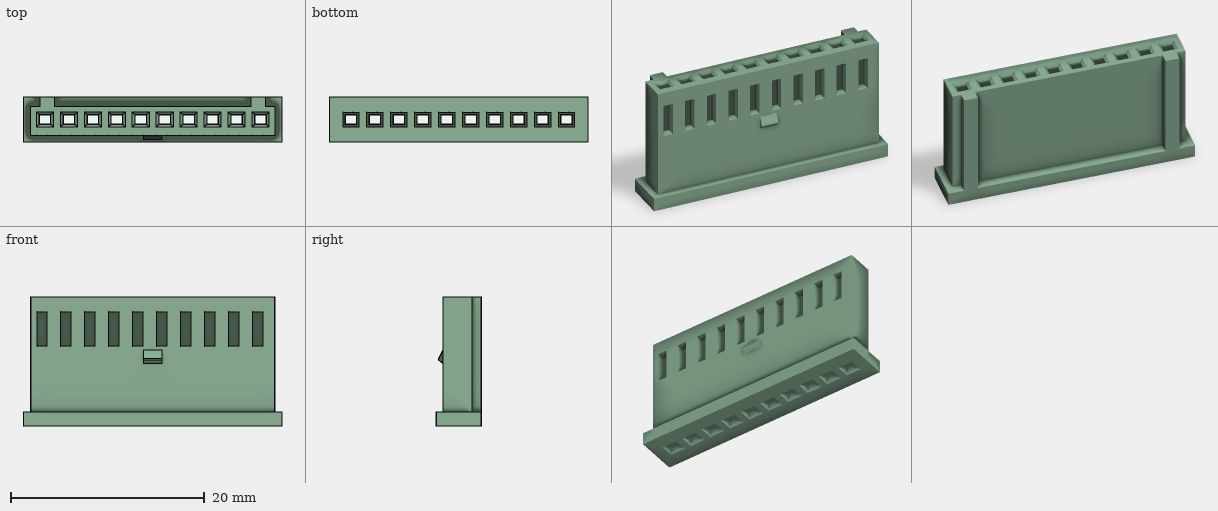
import cadquery as cq

LENGTH = 26.7
DEPTH = 4.67
HEIGHT = 13.35
BASE_HEIGHT = 1.47

BODY_SIDE_INSET = 0.75
BODY_FRONT_INSET = 0.7
BODY_DEPTH = 3.0
BODY_LENGTH = LENGTH - 2 * BODY_SIDE_INSET
FRONT_Y = -DEPTH / 2
BACK_Y = DEPTH / 2
BODY_FRONT_Y = FRONT_Y + BODY_FRONT_INSET
BODY_BACK_Y = BODY_FRONT_Y + BODY_DEPTH

RIB_WIDTH = 1.5
RIB_END_GAP = 1.7
RIB_OFFSET = LENGTH / 2 - RIB_END_GAP - RIB_WIDTH / 2

CONTACT_COUNT = 10
CONTACT_SPAN = 22.25
CONTACT_PITCH = CONTACT_SPAN / (CONTACT_COUNT - 1)
MOUTH_LENGTH = 1.75
MOUTH_DEPTH = 1.55
THROAT_LENGTH = 1.15
THROAT_DEPTH = 0.95
FUNNEL_HEIGHT = 0.3
THROAT_HEIGHT = 0.2
CAVITY_MARGIN = 0.27
CAVITY_LENGTH = THROAT_LENGTH + 2 * CAVITY_MARGIN
CAVITY_DEPTH = THROAT_DEPTH + 2 * CAVITY_MARGIN
THROAT_TOP = HEIGHT - FUNNEL_HEIGHT
CAVITY_TOP = THROAT_TOP - THROAT_HEIGHT

WINDOW_WIDTH = 1.07
WINDOW_BOTTOM = 8.25
WINDOW_TOP = 11.8

LATCH_WIDTH = 1.87
LATCH_REACH = 0.43
LATCH_BOTTOM = 6.46
LATCH_TIP_BOTTOM = 6.85
LATCH_TIP_TOP = 7.0
LATCH_TOP = 7.85


def block(x_range, y_range, z_range):
    """Axis-aligned box spanning the given ranges."""
    (x0, x1), (y0, y1), (z0, z1) = x_range, y_range, z_range
    return cq.Workplane("XY").box(x1 - x0, y1 - y0, z1 - z0, centered=False).translate((x0, y0, z0))


def centred_block(x, length, y_range, z_range):
    """Box of the given length centred at x."""
    return block((x - length / 2, x + length / 2), y_range, z_range)


def latch():
    """Wedge with a long upper ramp, a narrow flat tip and a short undercut."""
    tip_y = BODY_FRONT_Y - LATCH_REACH
    profile = [
        (BODY_FRONT_Y, LATCH_BOTTOM),
        (tip_y, LATCH_TIP_BOTTOM),
        (tip_y, LATCH_TIP_TOP),
        (BODY_FRONT_Y, LATCH_TOP),
    ]
    return cq.Workplane("YZ").polyline(profile).close().extrude(LATCH_WIDTH / 2, both=True)


def contact_cut(x):
    """Tapered mouth, narrow throat, wide cavity through the base, and front window."""
    throat_y = (-THROAT_DEPTH / 2, THROAT_DEPTH / 2)
    cavity_y = (-CAVITY_DEPTH / 2, CAVITY_DEPTH / 2)
    funnel = (
        cq.Workplane("XY", origin=(x, 0, HEIGHT))
        .rect(MOUTH_LENGTH, MOUTH_DEPTH)
        .workplane(offset=-FUNNEL_HEIGHT)
        .rect(THROAT_LENGTH, THROAT_DEPTH)
        .loft(ruled=True)
    )
    throat = centred_block(x, THROAT_LENGTH, throat_y, (CAVITY_TOP, THROAT_TOP))
    cavity = centred_block(x, CAVITY_LENGTH, cavity_y, (0, CAVITY_TOP))
    window_left = x - CAVITY_LENGTH / 2
    window = block(
        (window_left, window_left + WINDOW_WIDTH),
        (BODY_FRONT_Y, 0),
        (WINDOW_BOTTOM, WINDOW_TOP),
    )
    return funnel.union(throat).union(cavity).union(window)


base = centred_block(0, LENGTH, (FRONT_Y, BACK_Y), (0, BASE_HEIGHT))
body = centred_block(0, BODY_LENGTH, (BODY_FRONT_Y, BODY_BACK_Y), (0, HEIGHT))
housing = base.union(body)

for rib_x in (-RIB_OFFSET, RIB_OFFSET):
    rib = centred_block(rib_x, RIB_WIDTH, (BODY_BACK_Y, BACK_Y), (0, HEIGHT))
    housing = housing.union(rib)

housing = housing.union(latch())

for index in range(CONTACT_COUNT):
    contact_x = (index - (CONTACT_COUNT - 1) / 2) * CONTACT_PITCH
    housing = housing.cut(contact_cut(contact_x))

result = housing